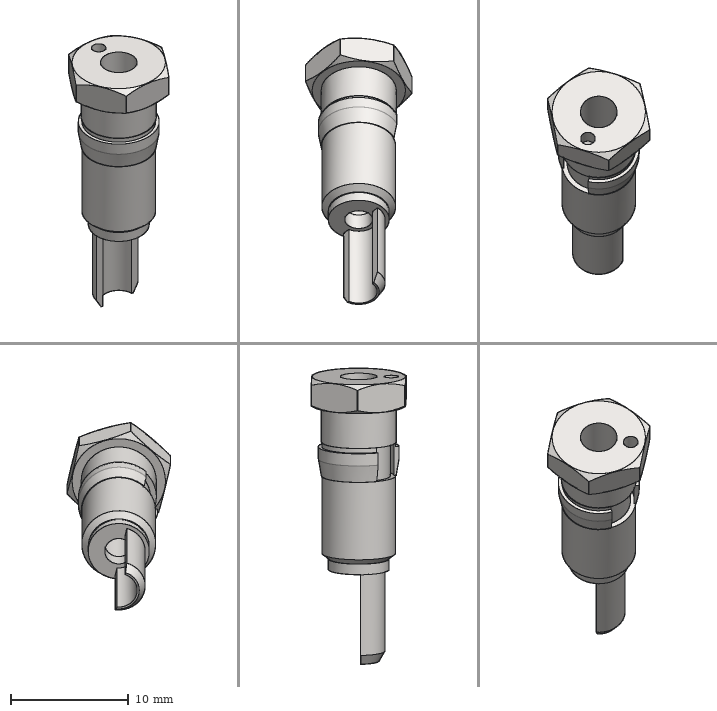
import cadquery as cq
import math

across_flats = 8.01
across_corners = 9.21
head_height = 2.5
head_face_diameter = 7.94
head_chamfer_angle = 30
hex_turn_angle = 30

shoulder_radius = 3.2
body_radius = 3.15
collar_radius = 2.6
shoulder_end_z = -5.67
body_taper_z = -15.3
collar_top_z = -15.78
collar_bottom_z = -16.7
body_end_radius = 2.52

groove_floor_radius = 2.7
groove_bottom_z = -8.6
ring_inner_radius = 3.02
ring_neck_radius = 3.15
ring_rim_radius = 3.45
ring_rim_top_z = -6.08
ring_rim_bottom_z = -7.13
ring_foot_radius = 3.2
ring_gap_start_angle = 90
ring_gap_end_angle = 154

pin_radius = 2.25
pin_tip_z = -24.61
pin_taper_height = 0.87
pin_taper_angle = 30
pin_cut_offset = 0.2
pin_bore_radius = 1.57

index_angle = 150
bore_radius = 1.55
bore_depth = 15.0
passage_radius = 1.19
index_hole_radius = 0.61
index_hole_distance = 2.77
index_hole_depth = 1.5
drill_point_angle = 118


def revolve_profile(points):
    """Revolve a closed outline of (radius, z) points about the Z axis."""
    return cq.Workplane("XZ").polyline(points).close().revolve(360, (0, 0), (0, 1))


def make_head():
    """Hexagonal prism with rounded corners, chamfered on both faces."""
    corner_radius = across_corners / 2
    face_radius = head_face_diameter / 2
    chamfer_drop = (corner_radius - face_radius) * math.tan(math.radians(head_chamfer_angle))
    prism = (
        cq.Workplane("XY")
        .polygon(6, across_flats, circumscribed=True)
        .extrude(-head_height)
        .rotate((0, 0, 0), (0, 0, 1), hex_turn_angle)
    )
    envelope = revolve_profile([
        (0, 0),
        (face_radius, 0),
        (corner_radius, -chamfer_drop),
        (corner_radius, -head_height + chamfer_drop),
        (face_radius, -head_height),
        (0, -head_height),
    ])
    return prism.intersect(envelope)


def make_body():
    """Stepped shank with the ring groove and the collar at its lower end."""
    return revolve_profile([
        (0, -head_height),
        (shoulder_radius, -head_height),
        (shoulder_radius, shoulder_end_z),
        (groove_floor_radius, shoulder_end_z),
        (groove_floor_radius, groove_bottom_z),
        (body_radius, groove_bottom_z),
        (body_radius, body_taper_z),
        (body_end_radius, collar_top_z),
        (collar_radius, collar_top_z),
        (collar_radius, collar_bottom_z),
        (0, collar_bottom_z),
    ])


def make_clip_ring():
    """Open ring spanning the groove height, standing clear of the groove floor."""
    ring_sweep = 360 - (ring_gap_end_angle - ring_gap_start_angle)
    profile = [
        (ring_inner_radius, shoulder_end_z),
        (ring_neck_radius, shoulder_end_z),
        (ring_neck_radius, ring_rim_top_z),
        (ring_rim_radius, ring_rim_top_z),
        (ring_rim_radius, ring_rim_bottom_z),
        (ring_foot_radius, groove_bottom_z),
        (ring_inner_radius, groove_bottom_z),
    ]
    ring = cq.Workplane("XZ").polyline(profile).close().revolve(ring_sweep, (0, 0), (0, 1))
    return ring.rotate((0, 0, 0), (0, 0, 1), ring_gap_end_angle)


def make_pin():
    """Bored pin with a tapered tip, cut lengthwise to leave the side facing the index hole."""
    tip_radius = pin_radius - pin_taper_height * math.tan(math.radians(pin_taper_angle))
    pin = revolve_profile([
        (pin_bore_radius, collar_bottom_z),
        (pin_radius, collar_bottom_z),
        (pin_radius, pin_tip_z + pin_taper_height),
        (tip_radius, pin_tip_z),
        (pin_bore_radius, pin_tip_z),
    ])
    pin_length = collar_bottom_z - pin_tip_z
    kept_side = (
        cq.Workplane("XY", origin=(0, 0, pin_tip_z))
        .rect(2 * pin_radius, 2 * pin_radius)
        .extrude(pin_length)
        .translate((pin_radius + pin_cut_offset, 0, 0))
        .rotate((0, 0, 0), (0, 0, 1), index_angle)
    )
    return pin.intersect(kept_side)


def drill_tip_height(radius):
    """Height of a drill point over the given radius."""
    return radius / math.tan(math.radians(drill_point_angle / 2))


def drilled_hole(radius, depth):
    """Hole from Z = 0 with a conical drill point below its straight depth."""
    return revolve_profile([
        (0, 0),
        (radius, 0),
        (radius, -depth),
        (0, -depth - drill_tip_height(radius)),
    ])


def make_holes():
    """Central stepped bore and the small blind index hole in the head."""
    bore = drilled_hole(bore_radius, bore_depth)
    passage = cq.Workplane("XY").circle(passage_radius).extrude(collar_bottom_z)
    index_hole = (
        drilled_hole(index_hole_radius, index_hole_depth)
        .translate((index_hole_distance, 0, 0))
        .rotate((0, 0, 0), (0, 0, 1), index_angle)
    )
    return bore.union(passage).union(index_hole)


result = make_head().union(make_body()).union(make_clip_ring()).union(make_pin()).cut(make_holes())